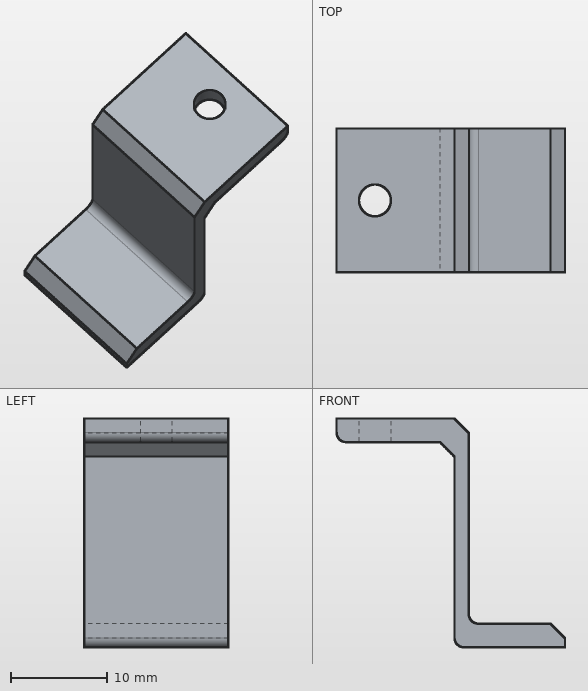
import cadquery as cq

length = 23.8
width = 15.0
height = 23.85

flange_thickness = 2.48
web_thickness = 1.5
web_left = 12.28
web_right = web_left + web_thickness
chamfer = 1.5
corner_radius = 1.0

hole_diameter = 3.3
hole_x = 4.0

upper_flange_bottom = height - flange_thickness


def edge_at(x, z):
    """Select the section corner running along Y through (x, z)."""
    tolerance = 0.02
    return cq.selectors.BoxSelector(
        (x - tolerance, -width, z - tolerance),
        (x + tolerance, width, z + tolerance),
    )


bracket = (
    cq.Workplane("XZ")
    .polyline([
        (0, upper_flange_bottom),
        (0, height),
        (web_right, height),
        (web_right, flange_thickness),
        (length, flange_thickness),
        (length, 0),
        (web_left, 0),
        (web_left, upper_flange_bottom),
    ])
    .close()
    .extrude(width / 2, both=True)
)

for x, z in [
    (web_right, height),
    (web_left, upper_flange_bottom),
    (length, flange_thickness),
]:
    bracket = bracket.edges(edge_at(x, z)).chamfer(chamfer)

for x, z in [
    (web_left, 0),
    (web_right, flange_thickness),
    (0, upper_flange_bottom),
]:
    bracket = bracket.edges(edge_at(x, z)).fillet(corner_radius)

hole = (
    cq.Workplane("XY", origin=(hole_x, 0, upper_flange_bottom))
    .circle(hole_diameter / 2)
    .extrude(flange_thickness)
)

result = bracket.cut(hole)